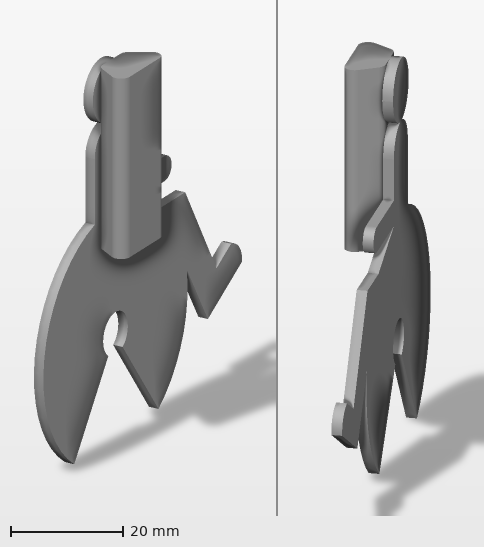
import cadquery as cq
import math

plate_thickness = 2.0
wheel_radius = 24.6
hub_radius = 4.2
wheel_bottom = -20.2
wedge_rear_angle = math.degrees(-math.pi - math.asin(wheel_bottom / wheel_radius))
wedge_front_angle = -53.4
wedge_mouth_half_width = 2.4
top_z = wheel_bottom + 73.6

body_y = -1.8
head_radius = 6.0
torso_half_width = 5.3
torso_front_y = body_y + torso_half_width
head_z = top_z - head_radius
shoulder_z = head_z - head_radius - torso_half_width

arm_half_width = 2.4
arm_z = 25.9
arm_tip_y = 19.15
lap_z = arm_z - arm_half_width
waist_z = 14.7

thigh_end = (15.3, 18.85)
knee = (23.8, 18.85)
ankle = (34.45, 0.4)
toe_top = (39.4, 3.3)
toe_middle = (42.1, 1.85)
toe_bottom = (43.15, -1.5)
heel = (31.5, -8.4)
calf_top = (24.2, 3.8)

rail_y = -1.4
rail_depth = 7.0
rail_length = 34.8
rail_narrow_half_width = 4.05
rail_wide_half_width = 8.5
rail_edge_radius = 1.85


def plate_sketch():
    return cq.Workplane("YZ")


def disc(y, z, radius):
    return plate_sketch().center(y, z).circle(radius).extrude(plate_thickness)


def wheel():
    def rim_point(angle):
        turn = math.radians(angle)
        return (wheel_radius * math.cos(turn), wheel_radius * math.sin(turn))

    mouth_z = -math.sqrt(hub_radius**2 - wedge_mouth_half_width**2)
    return (
        plate_sketch()
        .moveTo(wedge_mouth_half_width, mouth_z)
        .threePointArc((0, hub_radius), (-wedge_mouth_half_width, mouth_z))
        .lineTo(*rim_point(wedge_rear_angle))
        .threePointArc((0, wheel_radius), rim_point(wedge_front_angle))
        .close()
        .extrude(plate_thickness)
    )


def torso():
    back_y = body_y - torso_half_width
    return (
        plate_sketch()
        .moveTo(back_y, waist_z)
        .lineTo(back_y, shoulder_z)
        .threePointArc((body_y, shoulder_z + torso_half_width), (torso_front_y, shoulder_z))
        .lineTo(torso_front_y, waist_z)
        .close()
        .extrude(plate_thickness)
    )


def arm():
    wrist_y = arm_tip_y - arm_half_width
    forearm = (
        plate_sketch()
        .center((body_y + wrist_y) / 2, arm_z)
        .rect(wrist_y - body_y, 2 * arm_half_width)
        .extrude(plate_thickness)
    )
    return forearm.union(disc(wrist_y, arm_z, arm_half_width))


def leg():
    return (
        plate_sketch()
        .moveTo(torso_front_y, lap_z)
        .lineTo(*thigh_end)
        .lineTo(*knee)
        .lineTo(*ankle)
        .lineTo(*toe_top)
        .threePointArc(toe_middle, toe_bottom)
        .lineTo(*heel)
        .lineTo(*calf_top)
        .close()
        .extrude(plate_thickness)
    )


def rail():
    outer_x = plate_thickness + rail_depth
    return (
        cq.Workplane("XY", origin=(0, rail_y, top_z - rail_length))
        .polyline([
            (plate_thickness, -rail_narrow_half_width),
            (outer_x, -rail_wide_half_width),
            (outer_x, rail_wide_half_width),
            (plate_thickness, rail_narrow_half_width),
        ])
        .close()
        .extrude(rail_length)
        .edges("|Z")
        .fillet(rail_edge_radius)
    )


def lap_clearance():
    """Space above the lap and thigh, where the wheel rim is cut back to straight lines."""
    return (
        plate_sketch()
        .polyline([
            (torso_front_y, lap_z),
            thigh_end,
            knee,
            (knee[0], wheel_radius),
            (torso_front_y, wheel_radius),
        ])
        .close()
        .extrude(plate_thickness)
    )


head = disc(body_y, head_z, head_radius)
lower_body = wheel().union(leg()).cut(lap_clearance())
result = rail().union(lower_body).union(torso()).union(arm()).union(head).clean()